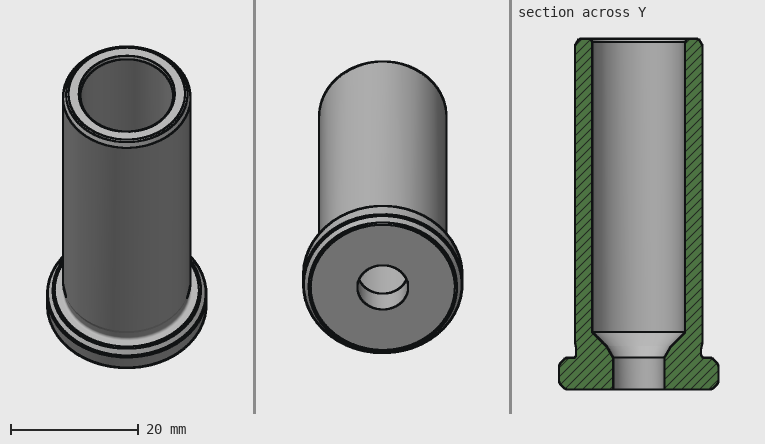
import cadquery as cq
import math

total_height = 55.0
flange_radius = 25.0 / 2
flange_height = 5.0
shaft_radius = 20.0 / 2

flange_chamfer = 1.2
bevel_long = 0.35
bevel_short = 0.14
tip_height = 1.0
tip_depth = 0.9
tip_bevel_long = 0.4
tip_bevel_short = 0.15

neck_radius = 19.7 / 2
neck_fillet = 0.45
groove_top = flange_height + 2.2
neck_top = groove_top - 0.7

bore_radius = 14.5 / 2
mouth_widening = 0.3
mouth_depth = 0.55
hole_radius = 8.0 / 2
seat_inner_radius = 10.0 / 2
seat_angle = math.radians(45)
seat_height = (bore_radius - seat_inner_radius) / math.tan(seat_angle)
throat_angle = math.radians(30)
throat_height = (seat_inner_radius - hole_radius) / math.tan(throat_angle)
throat_bottom = flange_height
seat_bottom = throat_bottom + throat_height
seat_top = seat_bottom + seat_height


def revolve_outline(points):
    """Revolve a closed outline of (radius, height) points around Z."""
    outline = cq.Workplane("XZ").polyline(points).close()
    return outline.revolve(360, (0, 0, 0), (0, 1, 0))


def flange_corner(face_height, inward):
    """Outline of an eased flange corner, from its side to its flat face.

    inward is +1 at the lower face and -1 at the upper face.
    """
    offsets = [
        (0, flange_chamfer),
        (bevel_short, flange_chamfer - bevel_long),
        (flange_chamfer - bevel_long, bevel_short),
        (flange_chamfer, 0),
    ]
    return [(flange_radius - dr, face_height + inward * dz) for dr, dz in offsets]


def round_neck(body):
    """Fillet the circle where the neck meets the flange."""
    tolerance = 0.005
    circles = body.edges("%CIRCLE").filter(
        lambda edge: abs(edge.radius() - neck_radius) < tolerance
        and abs(edge.Center().z - flange_height) < tolerance
    )
    return circles.fillet(neck_fillet)


def make_body():
    lower_corner = flange_corner(0, 1)
    upper_corner = flange_corner(flange_height, -1)
    body = revolve_outline([
        (0, 0),
        *reversed(lower_corner),
        *upper_corner,
        (neck_radius, flange_height),
        (neck_radius, neck_top),
        (shaft_radius, groove_top),
        (shaft_radius, total_height - tip_height),
        (shaft_radius - tip_depth + tip_bevel_long, total_height - tip_bevel_short),
        (shaft_radius - tip_depth, total_height),
        (0, total_height),
    ])
    return round_neck(body)


def make_cavity():
    return revolve_outline([
        (0, 0),
        (hole_radius, 0),
        (hole_radius, throat_bottom),
        (seat_inner_radius, seat_bottom),
        (bore_radius, seat_top),
        (bore_radius, total_height - mouth_depth),
        (bore_radius + mouth_widening, total_height),
        (0, total_height),
    ])


result = make_body().cut(make_cavity())